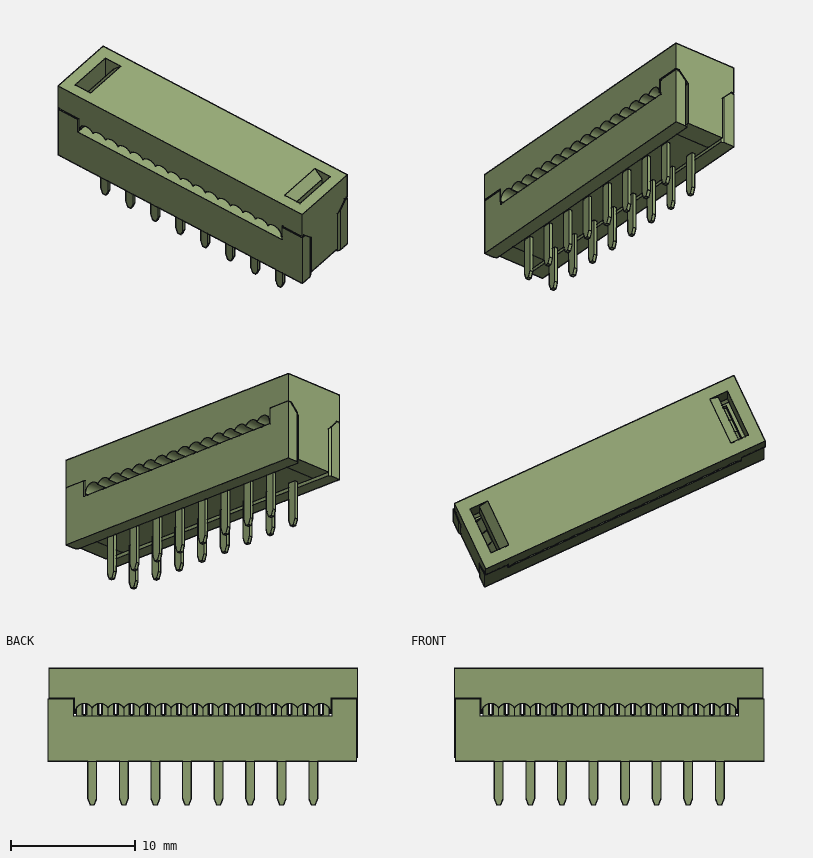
import cadquery as cq
import math

body_length = 24.82
body_width = 5.95
fit_shift = 0.037
fit_gap = 0.05

cover_top = 7.5
cover_bottom = 3.85
post_top = 5.03
base_top = 3.65
channel_height = 0.3

post_inner_x = 10.38
post_flat_width = 0.27

leg_half_width = 1.75
leg_inner_x = 10.6
slot_mouth_flare = 0.25
slot_flare_depth = 0.12

window_half_width = 2.0
window_outer_x = 11.42
window_inner_x = 9.85
hook_outer_x = 11.13
hook_half_width = 1.57
hook_center_half_width = 0.52
hook_bottom = 2.65
hook_edge = 3.04
hook_center_angle = 45
hook_side_angle = 64.5

contact_count = 16
contact_pitch = 1.27
arch_radius = 0.72
arch_center_z = 3.93
contact_thickness = 0.3
contact_top = 5.23
wire_slot_width = 0.2
wire_slot_chamfer = 0.1
wire_slot_bottom = 3.75

pin_row_spacing = 2 * contact_pitch
pin_width = 0.72
pin_tip_width = 0.32
pin_taper = 0.52
pin_length = 3.5

half_length = body_length / 2
half_width = body_width / 2
base_half_width = half_width - fit_shift
slope_start_y = base_half_width - post_flat_width
ledge_z = post_top - (slope_start_y - leg_half_width)
cover_inner_x = post_inner_x - fit_gap
post_cover_z = post_top + fit_gap

ends = (-1, 1)
sides = (-1, 1)


def box(x_range, y_range, z_range):
    """Box between two corners given as coordinate ranges, in any order."""
    x0, x1 = sorted(x_range)
    y0, y1 = sorted(y_range)
    z0, z1 = sorted(z_range)
    return cq.Workplane("XY").box(x1 - x0, y1 - y0, z1 - z0, centered=False).translate((x0, y0, z0))


def side_prism(points, half_depth):
    """XZ outline extruded symmetrically about Y = 0."""
    return cq.Workplane("XZ").polyline(points).close().extrude(half_depth, both=True)


def end_prism(points, x_start, x_end):
    """YZ outline extruded from x_start to x_end."""
    x_low = min(x_start, x_end)
    outline = cq.Workplane("YZ").workplane(offset=x_low).polyline(points).close()
    return outline.extrude(abs(x_end - x_start))


def contact_places():
    """Center of every contact; neighbours stand in alternate rows."""
    for index in range(contact_count):
        x = (index - (contact_count - 1) / 2) * contact_pitch
        yield x, sides[index % 2] * pin_row_spacing / 2


def contact_blank(x, y):
    """Full plate of one contact, before its wire slot is cut."""
    half_pitch = contact_pitch / 2
    half_plate = contact_thickness / 2
    x_range = (x - half_pitch, x + half_pitch)
    return box(x_range, (y - half_plate, y + half_plate), (base_top, contact_top))


def hook_space(end):
    """Rectangular envelope of a hook, left free in the cover leg."""
    x_range = (end * leg_inner_x, end * hook_outer_x)
    return box(x_range, (-hook_half_width, hook_half_width), (hook_bottom, ledge_z))


def base_block():
    """Plain block standing on two lengthwise feet."""
    block = cq.Workplane("XY").box(body_length, body_width, base_top, centered=(True, True, False))
    block = block.translate((fit_shift, -fit_shift, 0))
    y_range = (-leg_half_width, leg_half_width)
    channel = box((-body_length, body_length), y_range, (0, channel_height))
    return block.cut(channel)


def corner_post(end, side):
    """Post whose top slopes down at 45 degrees towards the middle."""
    outer_y = side * half_width - fit_shift
    outline = [
        (outer_y, 0),
        (outer_y, post_top),
        (side * slope_start_y, post_top),
        (side * leg_half_width, ledge_z),
        (side * leg_half_width, 0),
    ]
    return end_prism(outline, end * post_inner_x, end * half_length + fit_shift)


def leg_slot(end):
    """Slot through one end of the base, flared at its mouth."""
    mouth_x = end * half_length + fit_shift
    flare_x = mouth_x - end * slot_flare_depth
    mouth_half_width = leg_half_width + slot_mouth_flare
    outline = [
        (end * leg_inner_x, -leg_half_width),
        (flare_x, -leg_half_width),
        (mouth_x, -mouth_half_width),
        (mouth_x, mouth_half_width),
        (flare_x, leg_half_width),
        (end * leg_inner_x, leg_half_width),
    ]
    return cq.Workplane("XY").polyline(outline).close().extrude(post_top)


def hook_ramp(end, angle, half_depth):
    """Latch wedge with a vertical outer face and a top rising inwards."""
    reach = hook_outer_x - leg_inner_x
    inner_z = min(hook_edge + reach * math.tan(math.radians(angle)), ledge_z)
    outline = [
        (end * leg_inner_x, hook_bottom),
        (end * hook_outer_x, hook_bottom),
        (end * hook_outer_x, hook_edge),
        (end * leg_inner_x, inner_z),
    ]
    return side_prism(outline, half_depth)


def hook(end):
    """Latch hook with three ramps side by side."""
    y_range = (-hook_center_half_width, hook_center_half_width)
    x_range = (end * leg_inner_x, end * hook_outer_x)
    middle_gap = box(x_range, y_range, (hook_bottom, ledge_z))
    outer_ramps = hook_ramp(end, hook_side_angle, hook_half_width).cut(middle_gap)
    return outer_ramps.union(hook_ramp(end, hook_center_angle, hook_center_half_width))


def contact(x, y):
    """Contact plate with an open wire slot chamfered on both faces."""
    half_slot = wire_slot_width / 2
    half_mouth = half_slot + wire_slot_chamfer
    half_plate = contact_thickness / 2
    half_throat = half_plate - wire_slot_chamfer
    outline = [
        (-half_mouth, -half_plate),
        (half_mouth, -half_plate),
        (half_slot, -half_throat),
        (half_slot, half_throat),
        (half_mouth, half_plate),
        (-half_mouth, half_plate),
        (-half_slot, half_throat),
        (-half_slot, -half_throat),
    ]
    slot = cq.Workplane("XY").polyline(outline).close().extrude(contact_top - wire_slot_bottom)
    return contact_blank(x, y).cut(slot.translate((x, y, wire_slot_bottom)))


def pin(x, y):
    """Flat solder pin with a tapered tip, rooted in the base."""
    taper_z = pin_taper - pin_length
    outline = [
        (-pin_width / 2, channel_height),
        (-pin_width / 2, taper_z),
        (-pin_tip_width / 2, -pin_length),
        (pin_tip_width / 2, -pin_length),
        (pin_width / 2, taper_z),
        (pin_width / 2, channel_height),
    ]
    return side_prism(outline, contact_thickness / 2).translate((x, y, 0))


def make_base():
    base = base_block()
    for end in ends:
        for side in sides:
            base = base.union(corner_post(end, side))
        base = base.cut(leg_slot(end)).union(hook(end))
    for x, y in contact_places():
        base = base.union(contact(x, y))
    pin_count = contact_count // 2
    for index in range(pin_count):
        x = (index - (pin_count - 1) / 2) * 2 * contact_pitch
        for side in sides:
            base = base.union(pin(x, side * pin_row_spacing / 2 - fit_shift))
    return base


def cover_cap():
    """Cap whose middle part drops between the base posts."""
    y_range = (fit_shift - half_width, fit_shift + half_width)
    x_range = (-half_length - fit_shift, half_length - fit_shift)
    cap = box(x_range, y_range, (post_cover_z, cover_top))
    return cap.union(box((-cover_inner_x, cover_inner_x), y_range, (cover_bottom, post_cover_z)))


def cover_leg(end):
    """Leg filling a base slot, widening at 45 degrees over the post slopes."""
    outer_x = end * half_length - fit_shift
    shoulder = [
        (-leg_half_width, ledge_z),
        (leg_half_width, ledge_z),
        (slope_start_y, post_top),
        (slope_start_y, post_cover_z),
        (-slope_start_y, post_cover_z),
        (-slope_start_y, post_top),
    ]
    leg = box((end * leg_inner_x, outer_x), (-leg_half_width, leg_half_width), (channel_height, ledge_z))
    return leg.union(end_prism(shoulder, end * cover_inner_x, outer_x))


def cable_arch(x):
    """Round groove across the underside for one cable wire."""
    cylinder = cq.Workplane("XZ").center(x, arch_center_z).circle(arch_radius)
    return cylinder.extrude(body_width, both=True)


def latch_window(end):
    """Window with a 45 degree lead-in on its inner side, down to the hook."""
    lead_in = leg_inner_x - window_inner_x
    outline = [
        (end * window_outer_x, ledge_z),
        (end * window_outer_x, cover_top),
        (end * window_inner_x, cover_top),
        (end * leg_inner_x, cover_top - lead_in),
        (end * leg_inner_x, ledge_z),
    ]
    return side_prism(outline, window_half_width)


def make_cover():
    cover = cover_cap()
    for end in ends:
        cover = cover.union(cover_leg(end))
        cover = cover.cut(latch_window(end)).cut(hook_space(end))
    for x, y in contact_places():
        cover = cover.cut(cable_arch(x)).cut(contact_blank(x, y))
    return cover


base = make_base()
cover = make_cover()
result = cq.Compound.makeCompound([base.solids().val(), cover.solids().val()])